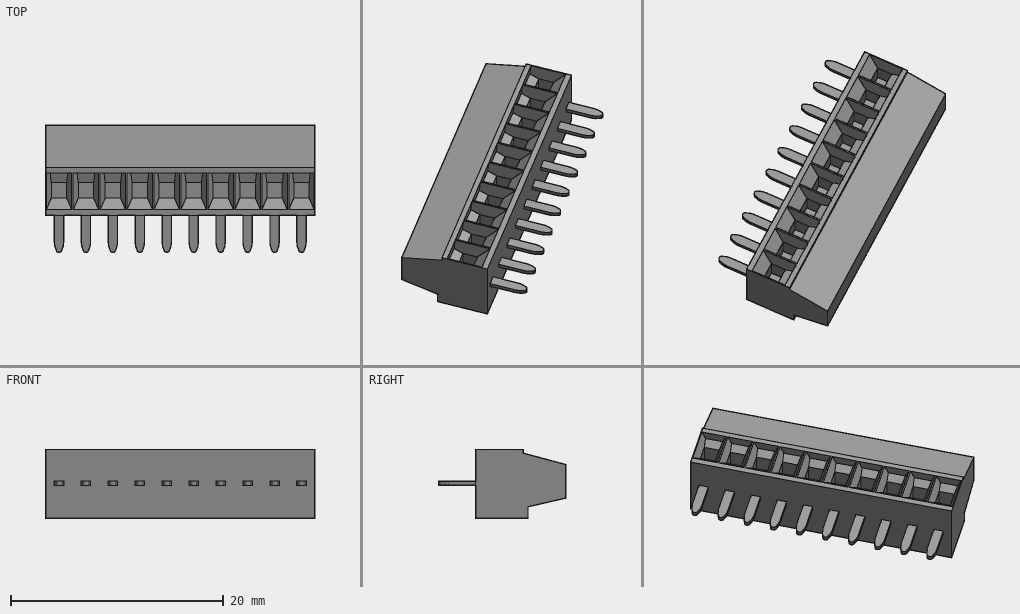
import cadquery as cq
import math


PITCH = 2.54
POSITIONS = 10
LENGTH = PITCH * POSITIONS

HEIGHT = 6.5
DEPTH = 8.5
TOP_LAND_DEPTH = 4.5
TOP_STEP = 0.35
TOP_SLOPE = 15.0
BASE_DEPTH = 4.95
BASE_STEP = 1.08
BASE_SLOPE = 13.0

MOUTH_WIDTH = 2.4
MOUTH_FRONT = 0.55
MOUTH_BACK = 4.0
MOUTH_DEPTH = 1.05
BACK_WALL_DEPTH = 0.8
SHAFT_WIDTH = 1.45
SHAFT_FRONT = 1.63
SHAFT_BACK = SHAFT_FRONT + SHAFT_WIDTH
SHAFT_DEPTH = 2.0

PIN_WIDTH = 0.9
PIN_THICKNESS = 0.4
PIN_LENGTH = 3.5
PIN_HEIGHT = 3.3
PIN_ROOT = 0.5
TAPER_START = 2.55
SHOULDER_AT = 2.92
SHOULDER_WIDTH = 0.8
TIP_START = 3.31
TIP_WIDTH = 0.52


def position_centres():
    """X of every position, from left to right."""
    return [(i - (POSITIONS - 1) / 2) * PITCH for i in range(POSITIONS)]


def make_housing():
    """Side profile in the YZ plane, extruded along the whole row."""
    top_slope_start = HEIGHT - TOP_STEP
    top_slope_drop = (DEPTH - TOP_LAND_DEPTH) * math.tan(math.radians(TOP_SLOPE))
    base_slope_rise = (DEPTH - BASE_DEPTH) * math.tan(math.radians(BASE_SLOPE))
    profile = [
        (0, 0),
        (BASE_DEPTH, 0),
        (BASE_DEPTH, BASE_STEP),
        (DEPTH, BASE_STEP + base_slope_rise),
        (DEPTH, top_slope_start - top_slope_drop),
        (TOP_LAND_DEPTH, top_slope_start),
        (TOP_LAND_DEPTH, HEIGHT),
        (0, HEIGHT),
    ]
    return cq.Workplane("YZ").polyline(profile).close().extrude(LENGTH / 2, both=True)


def make_mouth():
    """Pocket mouth: side walls lean inwards, the back wall is upright and then slopes."""
    floor = HEIGHT - MOUTH_DEPTH
    side_profile = [
        (MOUTH_FRONT, HEIGHT),
        (SHAFT_FRONT, floor),
        (SHAFT_BACK, floor),
        (MOUTH_BACK, HEIGHT - BACK_WALL_DEPTH),
        (MOUTH_BACK, HEIGHT),
    ]
    front_profile = [
        (-MOUTH_WIDTH / 2, HEIGHT),
        (-SHAFT_WIDTH / 2, floor),
        (SHAFT_WIDTH / 2, floor),
        (MOUTH_WIDTH / 2, HEIGHT),
    ]
    across = cq.Workplane("YZ").polyline(side_profile).close().extrude(MOUTH_WIDTH / 2, both=True)
    along = cq.Workplane("XZ").polyline(front_profile).close().extrude(-DEPTH)
    return across.intersect(along)


def make_pocket():
    """Pocket mouth joined to its blind square shaft."""
    shaft = cq.Workplane("XY").box(SHAFT_WIDTH, SHAFT_WIDTH, SHAFT_DEPTH, centered=(True, False, False))
    shaft_bottom = HEIGHT - MOUTH_DEPTH - SHAFT_DEPTH
    return make_mouth().union(shaft.translate((0, SHAFT_FRONT, shaft_bottom)))


def make_pin():
    """Flat pin pointing towards -Y, tapered in two stages to a rounded tip."""
    outline = (
        cq.Workplane("XY")
        .moveTo(-PIN_WIDTH / 2, PIN_ROOT)
        .lineTo(-PIN_WIDTH / 2, -TAPER_START)
        .lineTo(-SHOULDER_WIDTH / 2, -SHOULDER_AT)
        .lineTo(-TIP_WIDTH / 2, -TIP_START)
        .threePointArc((0, -PIN_LENGTH), (TIP_WIDTH / 2, -TIP_START))
        .lineTo(SHOULDER_WIDTH / 2, -SHOULDER_AT)
        .lineTo(PIN_WIDTH / 2, -TAPER_START)
        .lineTo(PIN_WIDTH / 2, PIN_ROOT)
        .close()
    )
    return outline.extrude(PIN_THICKNESS / 2, both=True).translate((0, 0, PIN_HEIGHT))


housing = make_housing()
pocket = make_pocket()
pin = make_pin()
for x in position_centres():
    housing = housing.cut(pocket.translate((x, 0, 0)))
    housing = housing.union(pin.translate((x, 0, 0)))

result = housing